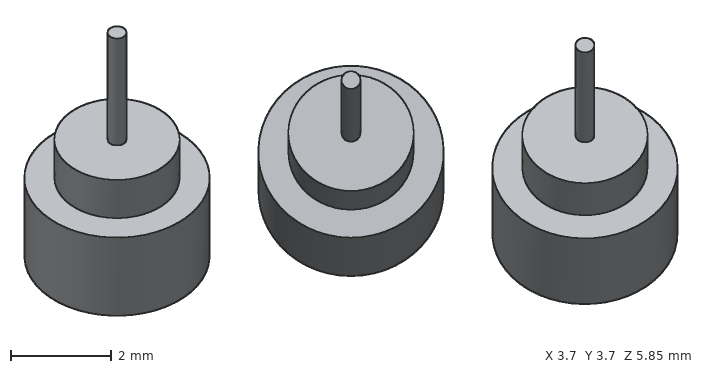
import cadquery as cq

total_height = 5.85
base_diameter = 3.7
base_height = 2.05
collar_diameter = 2.5
collar_height = 1.0
pin_diameter = 0.38

insulator_diameter = 1.95

collar_top = base_height + collar_height
pin_length = total_height - collar_top


def cylinder(diameter, bottom, height):
    """Upright cylinder on the Z axis, starting at the given height."""
    return cq.Workplane("XY").workplane(offset=bottom).circle(diameter / 2).extrude(height)


def make_shell():
    """Stepped body with a seat for the insulator through the collar."""
    base = cylinder(base_diameter, 0, base_height)
    collar = cylinder(collar_diameter, base_height, collar_height)
    seat = cylinder(insulator_diameter, base_height, collar_height)
    return base.union(collar).cut(seat)


insulator = cylinder(insulator_diameter, base_height, collar_height)
pin = cylinder(pin_diameter, collar_top, pin_length)

result = make_shell().union(insulator, clean=False).union(pin, clean=False)